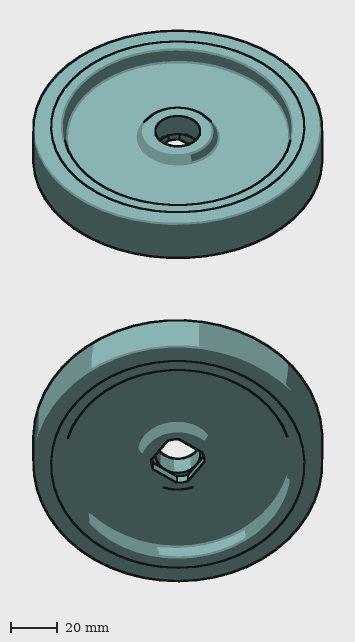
import cadquery as cq
import math

wheel_diameter = 123.8
wheel_width = 20.3
tyre_bore_diameter = 108.5
tyre_edge_radius = 1.2

web_thickness = 7.7
boss_height = 15.4
rim_wall_diameter = 96.8
rim_wall_draft = 12.0
boss_wall_diameter = 32.7
boss_wall_draft = 33.0
wall_blend_radius = 1.4

bore_diameter = 19.2
bore_depth = 10.5
socket_width = bore_diameter
socket_corner_diameter = 22.8
socket_depth = boss_height - bore_depth


def disc(diameter, height):
    """Cylinder on the Z axis, centred on the mid-plane."""
    return cq.Workplane("XY", origin=(0, 0, -height / 2)).circle(diameter / 2).extrude(height)


def make_tyre():
    """Plain ring with rounded outer edges."""
    blank = disc(wheel_diameter, wheel_width).edges("%CIRCLE").fillet(tyre_edge_radius)
    return blank.cut(disc(tyre_bore_diameter, wheel_width))


def draft_offset(wall_height, draft):
    """Radial shift from the middle of a sloping wall to its top or foot."""
    return wall_height / 2 * math.tan(math.radians(draft))


def make_core_blank():
    """Rim, web and boss as one revolved profile with blended walls."""
    half_rim = wheel_width / 2
    half_web = web_thickness / 2
    half_boss = boss_height / 2
    outer_radius = tyre_bore_diameter / 2

    rim_shift = draft_offset(half_rim - half_web, rim_wall_draft)
    boss_shift = draft_offset(half_boss - half_web, boss_wall_draft)
    rim_lip = rim_wall_diameter / 2 + rim_shift
    rim_foot = rim_wall_diameter / 2 - rim_shift
    boss_foot = boss_wall_diameter / 2 + boss_shift
    boss_lip = boss_wall_diameter / 2 - boss_shift

    upper_outline = [
        (0, half_boss),
        (boss_lip, half_boss),
        (boss_foot, half_web),
        (rim_foot, half_web),
        (rim_lip, half_rim),
        (outer_radius, half_rim),
    ]
    lower_outline = [(radius, -height) for radius, height in reversed(upper_outline)]
    blank = (
        cq.Workplane("XZ")
        .polyline(upper_outline + lower_outline)
        .close()
        .revolve(360, (0, 0, 0), (0, 1, 0))
    )
    inside_rim = (rim_lip + outer_radius) / 2
    wall_edges = blank.edges("%CIRCLE").filter(lambda edge: edge.radius() < inside_rim)
    return wall_edges.fillet(wall_blend_radius)


def make_bore():
    """Round part of the axle opening, from the top of the boss down."""
    return (
        cq.Workplane("XY", origin=(0, 0, boss_height / 2))
        .circle(bore_diameter / 2)
        .extrude(-bore_depth)
    )


def make_socket():
    """Square part of the axle opening, its corners limited to a circle."""
    boss_bottom = cq.Workplane("XY", origin=(0, 0, -boss_height / 2))
    square = boss_bottom.rect(socket_width, socket_width).extrude(socket_depth)
    corner_limit = boss_bottom.circle(socket_corner_diameter / 2).extrude(socket_depth)
    return square.intersect(corner_limit)


tyre = make_tyre()
core = make_core_blank().cut(make_bore()).cut(make_socket())

result = cq.Compound.makeCompound([tyre.solids().val(), core.solids().val()])